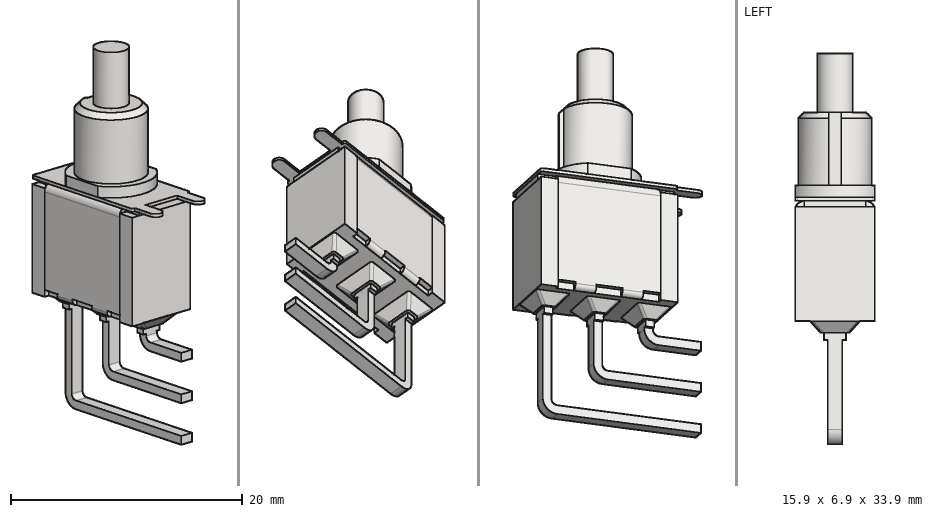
import cadquery as cq

TOTAL_HEIGHT = 33.85
CASE_LENGTH = 12.65
CASE_WIDTH = 6.9

CASE_BOTTOM_Z = 10.65
CASE_TOP_Z = 20.57
SHEET = 0.5
COVER_TOP_Z = CASE_TOP_Z + SHEET
PLATE_THICKNESS = 0.3
PLATE_TOP_Z = COVER_TOP_Z + PLATE_THICKNESS

PANEL_LENGTH = 9.48
PANEL_BOTTOM_Z = 11.3
COVER_BEND_RADIUS = 0.8
COVER_INNER_RADIUS = COVER_BEND_RADIUS - SHEET
TOP_STRIP_WIDTH = CASE_WIDTH - 2 * COVER_BEND_RADIUS
WAIST_WIDTH = CASE_WIDTH - 2 * SHEET
TAB_LENGTH = 1.93
TAB_SPACING = 4.35

PLATE_CORNER_RADIUS = 0.2
TAIL_END_X = 8.9
TAIL_WIDTH = 1.25
TAIL_SPACING = 5.0

BUSHING_TOP_Z = 28.73
BUSHING_DIAMETER = 6.4
BUSHING_CHAMFER = 0.5
FLANGE_DIAMETER = 8.0
FLANGE_HEIGHT = 1.0
FLANGE_TOP_Z = PLATE_TOP_Z + FLANGE_HEIGHT
KEYWAY_WIDTH = 1.08
KEYWAY_FLOOR_X = -2.45
PLUNGER_DIAMETER = 3.1

TERMINAL_PITCH = 4.7
TERMINAL_THICKNESS = 0.8
TERMINAL_WIDTH = 1.3
TERMINAL_END_X = 9.55
TERMINAL_BEND_RADIUS = 1.32
ROW_PITCH = 3.8
SHOULDER_WIDTH = 1.93
SHOULDER_HEIGHT = 0.6
SEAL_HEIGHT = 1.0
SEAL_LENGTH = 3.1
SEAL_WIDTH = 4.3
SEAL_INSET = 0.9
SEAL_CORNER_RADIUS = 0.35
SEAL_BOTTOM_Z = CASE_BOTTOM_Z - SEAL_HEIGHT
SHOULDER_BOTTOM_Z = SEAL_BOTTOM_Z - SHOULDER_HEIGHT

TERMINAL_INDICES = range(3)


def block(length, width, bottom_z, top_z):
    """Box centred on the plunger axis between two heights."""
    box = cq.Workplane("XY").workplane(offset=bottom_z)
    return box.rect(length, width).extrude(top_z - bottom_z)


def cylinder(diameter, bottom_z, top_z):
    """Cylinder on the plunger axis between two heights."""
    return cq.Workplane("XY").workplane(offset=bottom_z).circle(diameter / 2).extrude(top_z - bottom_z)


def terminal_x(index):
    """Centre of a terminal's vertical leg, counted from the -X end."""
    return (index - 1) * TERMINAL_PITCH


def make_seal(index):
    """Tapered block under the case with rounded corners."""
    seal = cq.Workplane("XY").workplane(offset=CASE_BOTTOM_Z).center(terminal_x(index), 0)
    seal = seal.rect(SEAL_LENGTH, SEAL_WIDTH).workplane(offset=-SEAL_HEIGHT)
    seal = seal.rect(SEAL_LENGTH - 2 * SEAL_INSET, SEAL_WIDTH - 2 * SEAL_INSET).loft(ruled=True)
    return seal.edges("not #Z").fillet(SEAL_CORNER_RADIUS)


def make_case():
    """Case with a narrower waist for the cover panels and a seal per terminal."""
    end_length = (CASE_LENGTH - PANEL_LENGTH) / 2
    case = block(PANEL_LENGTH, WAIST_WIDTH, CASE_BOTTOM_Z, CASE_TOP_Z)
    case = case.edges("|X and >Z").fillet(COVER_INNER_RADIUS)
    for side in (-1, 1):
        end_x = side * (CASE_LENGTH - end_length) / 2
        end_block = block(end_length, CASE_WIDTH, CASE_BOTTOM_Z, CASE_TOP_Z)
        case = case.union(end_block.translate((end_x, 0, 0)))
    for index in TERMINAL_INDICES:
        case = case.union(make_seal(index))
    return case


def make_tabs(tab_x):
    """Pair of opposite tabs at the foot of the side panels, rounded outside."""
    tabs = block(TAB_LENGTH, CASE_WIDTH, CASE_BOTTOM_Z, PANEL_BOTTOM_Z)
    tabs = tabs.edges("|X and <Z").fillet(SHEET)
    tabs = tabs.cut(block(TAB_LENGTH, WAIST_WIDTH, CASE_BOTTOM_Z, PANEL_BOTTOM_Z))
    return tabs.translate((tab_x, 0, 0))


def make_cover():
    """Sheet cover: strip along the top, side panels folded down, and tabs."""
    cover = block(PANEL_LENGTH, CASE_WIDTH, PANEL_BOTTOM_Z, COVER_TOP_Z)
    cover = cover.edges("|X and >Z").fillet(COVER_BEND_RADIUS)
    inside = block(PANEL_LENGTH, WAIST_WIDTH, PANEL_BOTTOM_Z, CASE_TOP_Z)
    cover = cover.cut(inside.edges("|X and >Z").fillet(COVER_INNER_RADIUS))
    cover = cover.union(block(CASE_LENGTH, TOP_STRIP_WIDTH, CASE_TOP_Z, COVER_TOP_Z))
    for side in (-1, 1):
        cover = cover.union(make_tabs(side * TAB_SPACING / 2))
    return cover


def make_plate():
    """Thin plate on the cover with two round-ended solder tails toward +X."""
    plate = block(CASE_LENGTH, CASE_WIDTH, COVER_TOP_Z, PLATE_TOP_Z)
    plate = plate.edges("|Z").fillet(PLATE_CORNER_RADIUS)
    for side in (-1, 1):
        tail = cq.Workplane("XY").workplane(offset=COVER_TOP_Z)
        tail = tail.center(TAIL_END_X / 2, side * TAIL_SPACING / 2)
        plate = plate.union(tail.slot2D(TAIL_END_X, TAIL_WIDTH).extrude(PLATE_THICKNESS))
    return plate


def make_bushing():
    """Chamfered sleeve with a keyway on -X, on a flange with flats at +-Y."""
    sleeve = cylinder(BUSHING_DIAMETER, FLANGE_TOP_Z, BUSHING_TOP_Z).faces(">Z").chamfer(BUSHING_CHAMFER)
    keyway_length = BUSHING_DIAMETER / 2
    keyway = block(keyway_length, KEYWAY_WIDTH, FLANGE_TOP_Z, BUSHING_TOP_Z)
    sleeve = sleeve.cut(keyway.translate((KEYWAY_FLOOR_X - keyway_length / 2, 0, 0)))
    flange = cylinder(FLANGE_DIAMETER, PLATE_TOP_Z, FLANGE_TOP_Z)
    flange = flange.intersect(block(FLANGE_DIAMETER, CASE_WIDTH, PLATE_TOP_Z, FLANGE_TOP_Z))
    bore = cylinder(PLUNGER_DIAMETER, PLATE_TOP_Z, BUSHING_TOP_Z)
    return flange.union(sleeve).cut(bore)


def make_plunger():
    """Round plunger standing on the plate inside the bushing bore."""
    return cylinder(PLUNGER_DIAMETER, PLATE_TOP_Z, TOTAL_HEIGHT)


def make_terminal(index):
    """Flat terminal with a wide shoulder, bent from vertical toward +X."""
    left_x = terminal_x(index) - TERMINAL_THICKNESS / 2
    right_x = left_x + TERMINAL_THICKNESS
    bottom_z = index * ROW_PITCH
    inner_radius = TERMINAL_BEND_RADIUS - TERMINAL_THICKNESS
    leg = (
        cq.Workplane("XZ")
        .moveTo(left_x, SEAL_BOTTOM_Z)
        .lineTo(left_x, bottom_z + TERMINAL_BEND_RADIUS)
        .radiusArc((left_x + TERMINAL_BEND_RADIUS, bottom_z), -TERMINAL_BEND_RADIUS)
        .lineTo(TERMINAL_END_X, bottom_z)
        .lineTo(TERMINAL_END_X, bottom_z + TERMINAL_THICKNESS)
        .lineTo(right_x + inner_radius, bottom_z + TERMINAL_THICKNESS)
        .radiusArc((right_x, bottom_z + TERMINAL_BEND_RADIUS), inner_radius)
        .lineTo(right_x, SEAL_BOTTOM_Z)
        .close()
        .extrude(TERMINAL_WIDTH / 2, both=True)
    )
    shoulder = block(TERMINAL_THICKNESS, SHOULDER_WIDTH, SHOULDER_BOTTOM_Z, SEAL_BOTTOM_Z)
    return leg.union(shoulder.translate((terminal_x(index), 0, 0)))


case = make_case()
cover = make_cover()
plate = make_plate()
bushing = make_bushing()
plunger = make_plunger()
terminals = [make_terminal(index) for index in TERMINAL_INDICES]

result = cq.Compound.makeCompound(
    [
        case.val(),
        cover.val(),
        plate.val(),
        bushing.val(),
        plunger.val(),
        *[terminal.val() for terminal in terminals],
    ]
)